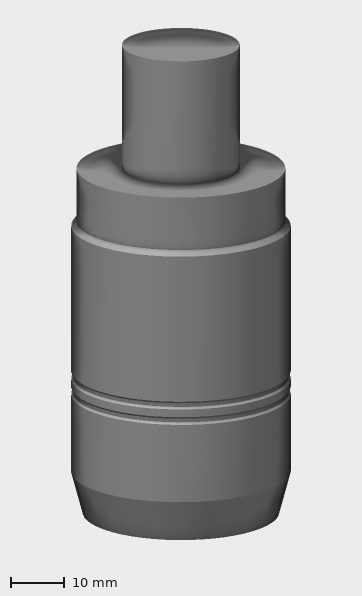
import cadquery as cq
import math

body_diameter = 41.0
collar_diameter = 39.0
shaft_diameter = 22.0
total_height = 91.0
collar_top = 67.0
collar_bottom = 56.8

taper_height = 8.0
taper_angle = 15.0

groove_floor_diameter = 40.2
groove_width = 1.5
groove_centers = (26.8, 23.8)

cross_hole_diameter = 8.3
cross_hole_height = 77.0

body_radius = body_diameter / 2
collar_radius = collar_diameter / 2
shaft_radius = shaft_diameter / 2


def make_body():
    """Revolve the stepped outline: taper, body, 45 degree shoulder, collar and shaft."""
    bottom_radius = body_radius - taper_height * math.tan(math.radians(taper_angle))
    body_top = collar_bottom - (body_radius - collar_radius)
    outline = [
        (0, 0),
        (bottom_radius, 0),
        (body_radius, taper_height),
        (body_radius, body_top),
        (collar_radius, collar_bottom),
        (collar_radius, collar_top),
        (shaft_radius, collar_top),
        (shaft_radius, total_height),
        (0, total_height),
    ]
    return cq.Workplane("YZ").polyline(outline).close().revolve(360, (0, 0), (0, 1))


def make_groove(center):
    """Ring cutter with 45 degree flanks centred at height center."""
    floor_radius = groove_floor_diameter / 2
    depth = body_radius - floor_radius
    top = center + groove_width / 2
    bottom = center - groove_width / 2
    section = [
        (body_radius, top),
        (floor_radius, top - depth),
        (floor_radius, bottom + depth),
        (body_radius, bottom),
    ]
    return cq.Workplane("YZ").polyline(section).close().revolve(360, (0, 0), (0, 1))


def make_cross_hole():
    """Cylinder running from the shaft axis out through the +Y side."""
    return (
        cq.Workplane("XZ", origin=(0, 0, cross_hole_height))
        .circle(cross_hole_diameter / 2)
        .extrude(-shaft_radius)
    )


result = make_body()
for groove_center in groove_centers:
    result = result.cut(make_groove(groove_center))
result = result.cut(make_cross_hole())